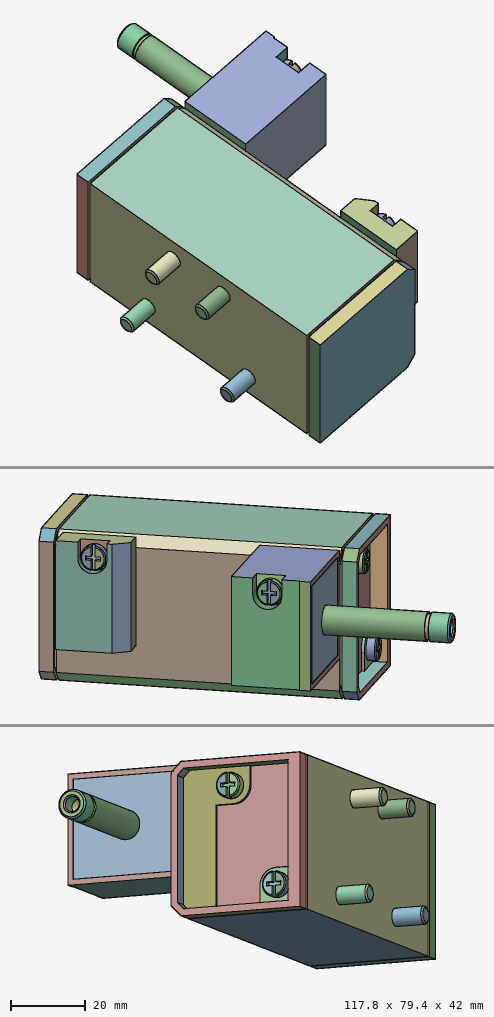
import cadquery as cq


TOTAL_LENGTH = 87.6
DEPTH = 37.9
HEIGHT = 42.0
CORNER_CHAMFER = 3.0
CAP_THICKNESS = 4.1
GASKET_THICKNESS = 0.7
GASKET_INSET = 1.1
CORE_LENGTH = TOTAL_LENGTH - 2 * CAP_THICKNESS - 2 * GASKET_THICKNESS
LEFT_END = -TOTAL_LENGTH / 2

POCKET_WALL = 1.9
POCKET_FRONT_WALL = 3.4
POCKET_CHAMFER = 1.9
POCKET_DEPTH = 3.9
PANEL_BACK = 26.5
PANEL_DEPTH = 0.8
PANEL_CORNER_RADIUS = 0.5
LAND_REACH_Y = 5.3
LAND_REACH_Z = 4.8
LAND_RADIUS = 4.8
CAP_SCREWS = [(21.8, HEIGHT - 7.1), (8.2, 7.1)]

HEAD_DIAMETER = 7.0
HEAD_HEIGHT = 2.7
HEAD_CHAMFER = 0.4
SLOT_WIDTH = 1.1
SLOT_DEPTH = 1.5
CROSS_LENGTH = 4.1

PIN_DIAMETER = 5.0
PIN_LENGTH = 9.0
PIN_CHAMFER = 0.5
PIN_ROW_OFFSET = 13.9
UPPER_PIN_SPACING = 17.9
LOWER_PIN_SPACING = 36.0

COIL_WIDTH = 21.9
COIL_BOTTOM = 11.8
COIL_HEIGHT = HEIGHT - COIL_BOTTOM
COIL_LENGTH = 32.5
COIL_LEFT = -CORE_LENGTH / 2
COIL_BACK = DEPTH + COIL_LENGTH
LIP_WIDTH = 3.1
LIP_HEIGHT = 0.4
FRAME_WIDTH = 1.5
FRAME_DEPTH = 0.1

TUBE_DIAMETER = 8.0
TUBE_LENGTH = 35.0
TUBE_CHAMFER = 0.5
TUBE_Y = 53.3
TUBE_Z = COIL_BOTTOM + COIL_HEIGHT / 2
GROOVE_START = 5.8
GROOVE_WIDTH = 1.1
GROOVE_DEPTH = 0.5
BORE_DIAMETER = 4.1
BORE_MOUTH_DIAMETER = 5.0
BORE_DEPTH = 4.7

CONNECTOR_LEFT = 17.1
CONNECTOR_WIDTH = 20.0
CONNECTOR_LENGTH = 8.6
CONNECTOR_CHAMFER_X = 4.5
CONNECTOR_CHAMFER_Y = 3.0
CONNECTOR_BACK = DEPTH + CONNECTOR_LENGTH

SEAT_DIAMETER = 8.0
SEAT_X = 27.0
SEAT_Z = HEIGHT - 4.5
COIL_SEAT_DEPTH = 4.5
CONNECTOR_SEAT_DEPTH = 3.3


def box(x0, y0, z0, dx, dy, dz):
    """Box given by its lowest corner and its sizes."""
    return cq.Workplane("XY").box(dx, dy, dz, centered=False).translate((x0, y0, z0))


def body_slice(x0, length, inset=0.0):
    """Length of the body profile, chamfered along both back edges."""
    block = box(x0, inset, inset, length, DEPTH - 2 * inset, HEIGHT - 2 * inset)
    return block.edges("|X and >Y").chamfer(CORNER_CHAMFER)


def screw_head():
    """Screw head on the XY plane, pointing up, with its long slot along Y."""
    head = cq.Workplane("XY").circle(HEAD_DIAMETER / 2).extrude(HEAD_HEIGHT)
    head = head.faces(">Z").chamfer(HEAD_CHAMFER)
    floor = cq.Workplane("XY").workplane(offset=HEAD_HEIGHT - SLOT_DEPTH)
    long_slot = floor.rect(SLOT_WIDTH, HEAD_DIAMETER).extrude(SLOT_DEPTH)
    cross_slot = floor.rect(CROSS_LENGTH, SLOT_WIDTH).extrude(SLOT_DEPTH)
    return head.cut(long_slot).cut(cross_slot)


def left_cap_pocket():
    """Pocket in the left cap together with the sunken panel in its floor."""
    width = DEPTH - POCKET_FRONT_WALL - POCKET_WALL
    height = HEIGHT - 2 * POCKET_WALL
    pocket = box(LEFT_END, POCKET_FRONT_WALL, POCKET_WALL, POCKET_DEPTH, width, height)
    pocket = pocket.edges("|X and >Y").chamfer(POCKET_CHAMFER)

    panel_x = LEFT_END + POCKET_DEPTH
    panel_width = PANEL_BACK - POCKET_FRONT_WALL
    panel = box(panel_x, POCKET_FRONT_WALL, POCKET_WALL, PANEL_DEPTH, panel_width, height)
    panel = panel.edges("|X").fillet(PANEL_CORNER_RADIUS)

    (upper_y, upper_z), (lower_y, lower_z) = CAP_SCREWS
    upper_land = box(panel_x, upper_y - LAND_REACH_Y, upper_z - LAND_REACH_Z, PANEL_DEPTH, DEPTH, HEIGHT)
    upper_land = upper_land.edges("|X").edges("<Y").edges("<Z").fillet(LAND_RADIUS)
    lower_land = box(
        panel_x,
        lower_y + LAND_REACH_Y - DEPTH,
        lower_z + LAND_REACH_Z - HEIGHT,
        PANEL_DEPTH,
        DEPTH,
        HEIGHT,
    )
    lower_land = lower_land.edges("|X").edges(">Y").edges(">Z").fillet(LAND_RADIUS)
    panel = panel.cut(upper_land).cut(lower_land)
    return pocket.union(panel)


def valve_body():
    """Core, two end caps and the recessed gaskets between them."""
    body = body_slice(-CORE_LENGTH / 2, CORE_LENGTH)
    body = body.union(body_slice(LEFT_END, CAP_THICKNESS))
    body = body.union(body_slice(-LEFT_END - CAP_THICKNESS, CAP_THICKNESS))
    inner_length = TOTAL_LENGTH - 2 * CAP_THICKNESS
    body = body.union(body_slice(-inner_length / 2, inner_length, GASKET_INSET))

    body = body.cut(left_cap_pocket())
    for y, z in CAP_SCREWS:
        head = screw_head().rotate((0, 0, 0), (0, 1, 0), -90).rotate((0, 0, 0), (1, 0, 0), 90)
        body = body.union(head.translate((LEFT_END + POCKET_DEPTH, y, z)))
    return body


def mounting_pins():
    """Two close pins in the upper row and two wide ones in the lower row."""
    upper = [(side * UPPER_PIN_SPACING / 2, HEIGHT / 2 + PIN_ROW_OFFSET) for side in (-1, 1)]
    lower = [(side * LOWER_PIN_SPACING / 2, HEIGHT / 2 - PIN_ROW_OFFSET) for side in (-1, 1)]
    pins = cq.Workplane("XZ").pushPoints(upper + lower).circle(PIN_DIAMETER / 2).extrude(PIN_LENGTH)
    return pins.faces("<Y").chamfer(PIN_CHAMFER)


def add_seated_screw(block, x, floor_y):
    """Cut a screw seat from the back and top of a block and put a screw head on its floor."""
    seat = cq.Workplane("XZ", origin=(x, floor_y, SEAT_Z)).circle(SEAT_DIAMETER / 2).extrude(-COIL_LENGTH)
    seat = seat.union(box(x - SEAT_DIAMETER / 2, floor_y, SEAT_Z, SEAT_DIAMETER, COIL_LENGTH, HEIGHT))
    head = screw_head().rotate((0, 0, 0), (1, 0, 0), -90).translate((x, floor_y, SEAT_Z))
    return block.cut(seat).union(head)


def coil():
    """Coil block with a raised lip, a framed left face and a seated screw."""
    block = box(COIL_LEFT, DEPTH, COIL_BOTTOM, COIL_WIDTH, COIL_LENGTH - LIP_HEIGHT, COIL_HEIGHT)
    block = block.union(box(COIL_LEFT, DEPTH, COIL_BOTTOM, LIP_WIDTH, COIL_LENGTH, COIL_HEIGHT))
    block = block.cut(
        box(
            COIL_LEFT,
            DEPTH + FRAME_WIDTH,
            COIL_BOTTOM + FRAME_WIDTH,
            FRAME_DEPTH,
            COIL_LENGTH - 2 * FRAME_WIDTH,
            COIL_HEIGHT - 2 * FRAME_WIDTH,
        )
    )
    return add_seated_screw(block, -SEAT_X, COIL_BACK - LIP_HEIGHT - COIL_SEAT_DEPTH)


def armature_tube():
    """Grooved tube, revolved about its axis, with a cone-bottomed bore in its free end."""
    radius = TUBE_DIAMETER / 2
    groove_radius = radius - GROOVE_DEPTH
    groove_end = GROOVE_START + GROOVE_WIDTH
    bore_radius = BORE_DIAMETER / 2
    mouth_radius = BORE_MOUTH_DIAMETER / 2
    end = TUBE_LENGTH + FRAME_DEPTH
    outline = [
        (BORE_DEPTH + bore_radius, 0),
        (BORE_DEPTH, bore_radius),
        (mouth_radius - bore_radius, bore_radius),
        (0, mouth_radius),
        (0, radius - TUBE_CHAMFER),
        (TUBE_CHAMFER, radius),
        (GROOVE_START, radius),
        (GROOVE_START, groove_radius),
        (groove_end, groove_radius),
        (groove_end, radius),
        (end, radius),
        (end, 0),
    ]
    tube = cq.Workplane("XY").polyline(outline).close().revolve(360, (0, 0, 0), (1, 0, 0))
    return tube.translate((COIL_LEFT - TUBE_LENGTH, TUBE_Y, TUBE_Z))


def connector():
    """Connector block with one sloped back corner and a seated screw."""
    block = (
        cq.Workplane("XY", origin=(CONNECTOR_LEFT, DEPTH, COIL_BOTTOM))
        .lineTo(CONNECTOR_WIDTH, 0)
        .lineTo(CONNECTOR_WIDTH, CONNECTOR_LENGTH)
        .lineTo(CONNECTOR_CHAMFER_X, CONNECTOR_LENGTH)
        .lineTo(0, CONNECTOR_LENGTH - CONNECTOR_CHAMFER_Y)
        .close()
        .extrude(COIL_HEIGHT)
    )
    return add_seated_screw(block, SEAT_X, CONNECTOR_BACK - CONNECTOR_SEAT_DEPTH)


result = valve_body()
for attachment in (mounting_pins(), coil(), armature_tube(), connector()):
    result = result.union(attachment)